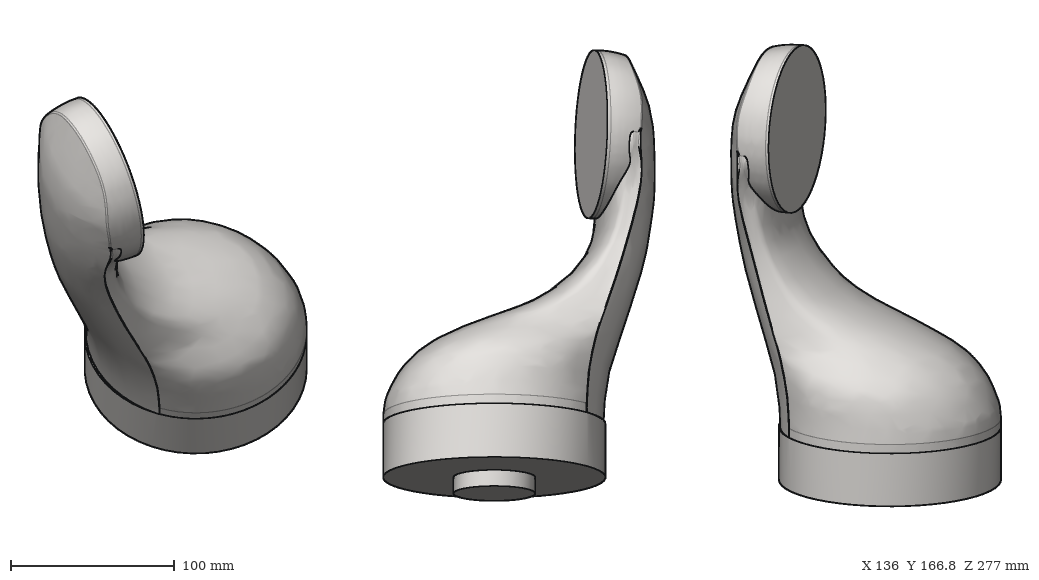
import cadquery as cq
import math

base_radius = 68.0
base_height = 33.4
collar_top = 39.2
spigot_radius = 25.0
spigot_length = 10.0
overall_height = 277.0

head_radius = 51.5
head_top = overall_height - spigot_length
head_center_z = head_top - head_radius
head_face_y = -60.3
head_rim_width = 2.0
head_flank_radius = 62.0
head_depth = 45.0
head_crown_radius = 93.0
crown_fillet = 1.8

EDGE_ANGLE = -math.pi / 4
EDGE_SINE = -math.sin(EDGE_ANGLE)
rear_steps = 6

edge_lip = 0.4

back_clearance = 80.0
front_clearance = -115.0

blade_stations = [
    (collar_top, 48.0, -47.9, 67.9, 67.9, -66.8),
    (47.0, 48.0, -48.3, 67.3, 66.9, -67.6),
    (57.0, 47.8, -49.0, 66.7, 63.0, -68.7),
    (77.0, 47.0, -52.8, 59.2, 47.1, -73.7),
    (87.0, 46.0, -55.6, 50.2, 31.5, -77.1),
    (97.0, 45.0, -59.2, 44.6, 8.6, -80.4),
    (107.0, 43.4, -62.8, 42.0, -17.0, -83.7),
    (117.0, 41.7, -66.5, 39.6, -34.2, -87.1),
    (142.0, 39.2, -74.5, 36.5, -58.3, -93.7),
    (162.0, 40.0, -79.8, 37.0, -64.9, -97.1),
    (192.0, 45.9, -82.3, 44.0, -66.0, -98.75),
    (211.0, 48.3, -81.5, 48.3, -66.0, -98.0),
]

crown_stations = [(230.0, -94.7), (250.0, -86.5), (270.0, -72.8)]


def arc_radius(half_width, rise):
    """Radius of the arc with the given half chord and rise."""
    return (half_width**2 + rise**2) / (2 * rise)


def front_section(z, front_y, radius):
    """Half-round nose at front_y with straight walls running back past the base."""
    nose_center_y = front_y + radius
    return (
        cq.Workplane("XY", origin=(0, 0, z))
        .moveTo(-radius, back_clearance)
        .lineTo(-radius, nose_center_y)
        .threePointArc((0, front_y), (radius, nose_center_y))
        .lineTo(radius, back_clearance)
        .close()
        .wires()
        .val()
    )


def make_front_limit():
    """Solid whose curved front is the front face of the blade and head."""
    nose = []
    for z, edge_x, edge_y, _, _, front_y in blade_stations:
        nose.append((z, front_y, arc_radius(edge_x, edge_y - edge_lip - front_y)))
    for z, front_y in crown_stations:
        nose.append((z, front_y, head_crown_radius))
    _, collar_front_y, collar_nose_radius = nose[0]
    nose.insert(0, (base_height, collar_front_y, collar_nose_radius))
    return cq.Workplane(cq.Solid.makeLoft([front_section(*station) for station in nose]))


def blade_section(z, edge_x, edge_y, flank_x, rear_y):
    """Elliptical rear from one blade edge round to the other, run forward past the front face."""
    flank_y = edge_y + (rear_y - edge_y) * EDGE_SINE / (1 + EDGE_SINE)
    angle_step = (math.pi / 2 - EDGE_ANGLE) / rear_steps
    angles = [EDGE_ANGLE + i * angle_step for i in range(2 * rear_steps + 1)]
    points = []
    for angle in angles:
        if math.sin(angle) >= 0:
            x = flank_x * math.cos(angle)
        else:
            inset = (flank_x - edge_x) * (1 - abs(math.cos(angle))) / (1 - math.cos(EDGE_ANGLE))
            x = math.copysign(flank_x - inset, math.cos(angle))
        y = flank_y + (rear_y - flank_y) * math.sin(angle)
        points.append(cq.Vector(x, y, z))
    rear = cq.Edge.makeSpline(points, parameters=angles)
    front_right = cq.Vector(edge_x, front_clearance, z)
    front_left = cq.Vector(-edge_x, front_clearance, z)
    sides = cq.Wire.makePolygon([points[-1], front_left, front_right, points[0]])
    return cq.Wire.assembleEdges([rear] + sides.Edges())


def make_blade():
    return cq.Workplane(cq.Solid.makeLoft([blade_section(*station[:-1]) for station in blade_stations]))


def make_head():
    """Disc with a short straight rim and a flank that curves in towards the front."""
    rim_y = head_face_y - head_rim_width

    def flank_radius_at(depth):
        return head_radius - head_flank_radius + math.sqrt(head_flank_radius**2 - depth**2)

    return (
        cq.Workplane("XY")
        .moveTo(0, head_face_y)
        .lineTo(head_radius, head_face_y)
        .lineTo(head_radius, rim_y)
        .threePointArc(
            (flank_radius_at(head_depth / 2), rim_y - head_depth / 2),
            (flank_radius_at(head_depth), rim_y - head_depth),
        )
        .lineTo(0, rim_y - head_depth)
        .close()
        .revolve(360, (0, 0, 0), (0, 1, 0))
        .translate((0, 0, head_center_z))
    )


def make_collar():
    """Straight band between the base and the blade, with the outline of the lowest blade section."""
    outline = cq.Face.makeFromWires(blade_section(*blade_stations[0][:-1]))
    height = collar_top - base_height
    return cq.Workplane(cq.Solid.extrudeLinear(outline, cq.Vector(0, 0, -height)))


def make_base():
    base = cq.Workplane("XY").circle(base_radius).extrude(base_height)
    spigot = cq.Workplane("XY").circle(spigot_radius).extrude(-spigot_length)
    return base.union(spigot)


front_limit = make_front_limit()
trunk = make_collar().union(make_blade()).intersect(front_limit)
head = make_head().intersect(front_limit).faces("<Y").edges().fillet(crown_fillet)
result = make_base().union(trunk).union(head)